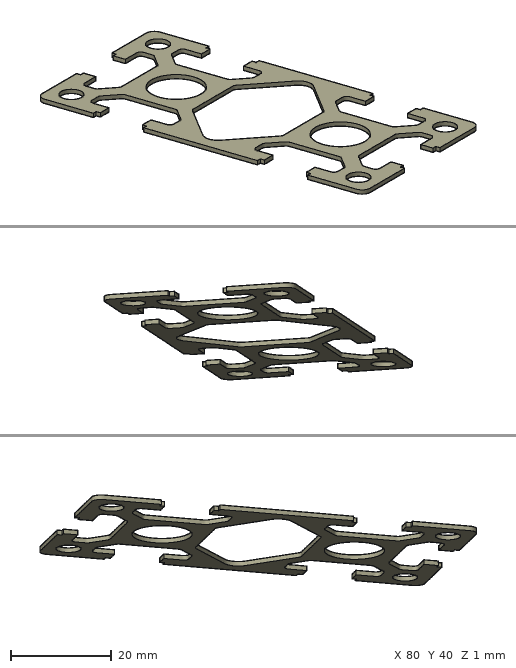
import cadquery as cq
import math

cell = 40.0
thickness = 1.0
outer_corner_radius = 2.0

mouth_width = 10.2
rebate_width = 12.2
rebate_depth = (rebate_width - mouth_width) / 2
lip_thickness = 4.0
undercut_width = 20.0
slot_corner_radius = 1.0

core_width = 18.0
bore_diameter = 12.0
strut_thickness = 3.5

corner_hole_diameter = 5.0
corner_hole_inset = (cell - undercut_width) / 4

window_width = cell - core_width
window_side_height = 14.5
window_tip_radius = 3.0
window_side_radius = slot_corner_radius

length = 2 * cell
width = cell
cell_centres = [-cell / 2, cell / 2]


def make_blank():
    return (
        cq.Workplane("XY")
        .rect(length, width)
        .extrude(thickness)
        .edges("|Z")
        .fillet(outer_corner_radius)
    )


def make_slot():
    """T-slot of a cell centred on the origin, open towards +Y."""
    outside = cell / 2
    floor = core_width / 2
    undercut_top = outside - lip_thickness
    strut_offset = strut_thickness / math.sqrt(2)
    undercut_bottom = undercut_width / 2 + strut_offset
    floor_half_width = floor - strut_offset

    undercut = (
        cq.Workplane("XY")
        .moveTo(-undercut_width / 2, undercut_top)
        .lineTo(undercut_width / 2, undercut_top)
        .lineTo(undercut_width / 2, undercut_bottom)
        .lineTo(floor_half_width, floor)
        .lineTo(-floor_half_width, floor)
        .lineTo(-undercut_width / 2, undercut_bottom)
        .close()
        .extrude(thickness)
        .edges("|Z")
        .fillet(slot_corner_radius)
    )
    mouth_depth = outside - floor
    mouth = (
        cq.Workplane("XY")
        .center(0, outside - mouth_depth / 2)
        .rect(mouth_width, mouth_depth)
        .extrude(thickness)
    )
    rebate = (
        cq.Workplane("XY")
        .center(0, outside - rebate_depth / 2)
        .rect(rebate_width, rebate_depth)
        .extrude(thickness)
    )
    return undercut.union(mouth).union(rebate)


def make_window():
    """Hexagonal window with rounded corners and its two tips on the Y axis."""
    half_width = window_width / 2
    half_side = window_side_height / 2
    sharp_tip = half_side + half_width
    hexagon = (
        cq.Workplane("XY")
        .moveTo(half_width, -half_side)
        .lineTo(half_width, half_side)
        .lineTo(0, sharp_tip)
        .lineTo(-half_width, half_side)
        .lineTo(-half_width, -half_side)
        .lineTo(0, -sharp_tip)
        .close()
        .extrude(thickness)
    )
    rounded_tips = hexagon.edges("|Z and (>Y or <Y)").fillet(window_tip_radius)
    return rounded_tips.edges("|Z and (>X or <X)").fillet(window_side_radius)


def cut_slots(body):
    """Each cell has a slot on both long sides and one on its outer end."""
    slot = make_slot()
    for centre_x in cell_centres:
        end_angle = math.copysign(90, -centre_x)
        for angle in (0, 180, end_angle):
            turned = slot.rotate((0, 0, 0), (0, 0, 1), angle)
            body = body.cut(turned.translate((centre_x, 0, 0)))
    return body


def cut_round_holes(body):
    bore_places = [(x, 0) for x in cell_centres]
    hole_x = length / 2 - corner_hole_inset
    hole_y = width / 2 - corner_hole_inset
    corner_places = [(sx * hole_x, sy * hole_y) for sx in (-1, 1) for sy in (-1, 1)]
    for places, diameter in ((bore_places, bore_diameter), (corner_places, corner_hole_diameter)):
        holes = cq.Workplane("XY").pushPoints(places).circle(diameter / 2).extrude(thickness)
        body = body.cut(holes)
    return body


result = cut_round_holes(cut_slots(make_blank()).cut(make_window()))